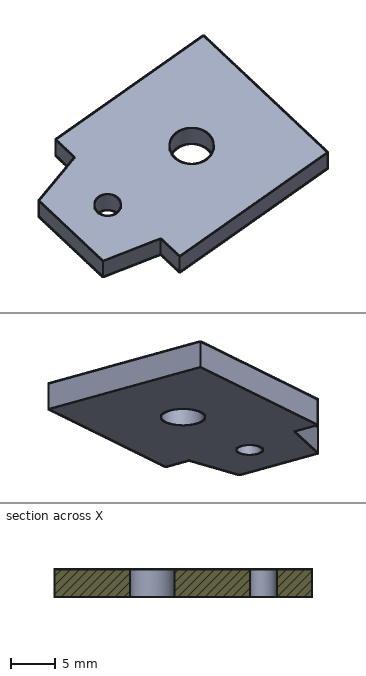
import cadquery as cq

width = 21.5
length = 29.15
thickness = 3.15

tongue_length = 7.0
tongue_root_width = 14.92
tongue_tip_width = 11.14

large_hole_diameter = 5.0
small_hole_diameter = 3.0
small_hole_from_tip = 5.5

tip_y = -length / 2
shoulder_y = tip_y + tongue_length
back_y = length / 2
large_hole_y = (shoulder_y + back_y) / 2
small_hole_y = tip_y + small_hole_from_tip


def plate():
    """Rectangular body and tapered tongue, extruded as one outline."""
    right_side = [
        (tongue_tip_width / 2, tip_y),
        (tongue_root_width / 2, shoulder_y),
        (width / 2, shoulder_y),
        (width / 2, back_y),
    ]
    left_side = [(-x, y) for x, y in reversed(right_side)]
    return cq.Workplane("XY").polyline(right_side + left_side).close().extrude(thickness)


def hole_cutter(diameter, y):
    """Cylinder through the full thickness, on the centreline at y."""
    return cq.Workplane("XY").center(0, y).circle(diameter / 2).extrude(thickness)


result = (
    plate()
    .cut(hole_cutter(large_hole_diameter, large_hole_y))
    .cut(hole_cutter(small_hole_diameter, small_hole_y))
)